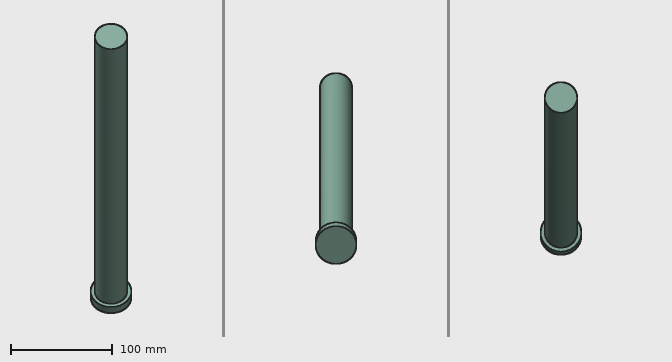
import cadquery as cq

total_length = 410.0
head_diameter = 40.0
head_thickness = 10.0
shank_diameter = 32.0

shank_length = total_length - head_thickness

head = (
    cq.Workplane("XY")
    .workplane(offset=-total_length / 2)
    .circle(head_diameter / 2)
    .extrude(head_thickness)
)

result = head.faces(">Z").workplane().circle(shank_diameter / 2).extrude(shank_length)